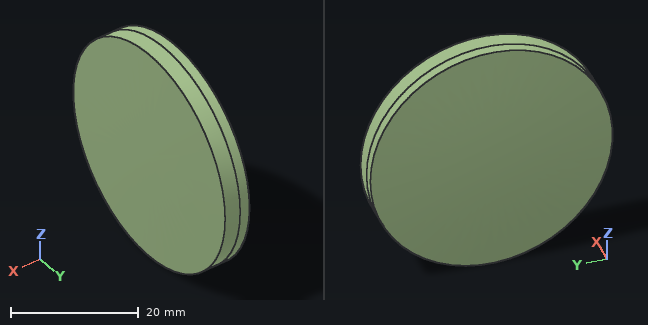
import cadquery as cq

DIAMETER = 40.0
RADIUS = DIAMETER / 2

FRONT_RIM_THICKNESS = 1.85
REAR_RIM_THICKNESS = 2.9

FRONT_BULGE = 0.8
REAR_BULGE = 0.35

TOTAL_THICKNESS = FRONT_BULGE + FRONT_RIM_THICKNESS + REAR_RIM_THICKNESS + REAR_BULGE
FRONT_VERTEX_X = -TOTAL_THICKNESS / 2
FRONT_RIM_X = FRONT_VERTEX_X + FRONT_BULGE
JOINT_X = FRONT_RIM_X + FRONT_RIM_THICKNESS
REAR_RIM_X = JOINT_X + REAR_RIM_THICKNESS


def lens_element(rim_x, joint_x, bulge):
    """Revolve a disc about X whose face at rim_x is a spherical cap and whose face at joint_x is flat.

    A negative bulge makes the cap rise toward -X, a positive one toward +X.
    """
    sphere_radius = (RADIUS**2 + bulge**2) / (2 * abs(bulge))
    half_height = RADIUS / 2
    half_height_sag = sphere_radius - (sphere_radius**2 - half_height**2) ** 0.5
    toward_joint = -1 if bulge > 0 else 1
    vertex_x = rim_x + bulge
    arc_middle = (vertex_x + toward_joint * half_height_sag, half_height)

    return (
        cq.Workplane("XY")
        .moveTo(joint_x, 0)
        .lineTo(joint_x, RADIUS)
        .lineTo(rim_x, RADIUS)
        .threePointArc(arc_middle, (vertex_x, 0))
        .close()
        .revolve(360, (0, 0, 0), (1, 0, 0))
    )


front_element = lens_element(FRONT_RIM_X, JOINT_X, -FRONT_BULGE)
rear_element = lens_element(REAR_RIM_X, JOINT_X, REAR_BULGE)

result = cq.Compound.makeCompound([front_element.val(), rear_element.val()])